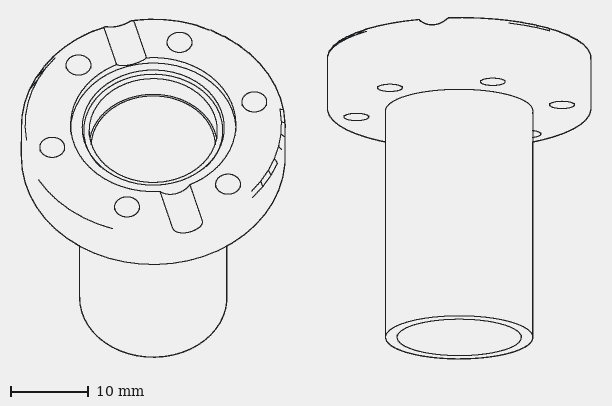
import cadquery as cq
import math

total_height = 38.0
flange_diameter = 34.0
flange_thickness = 7.5
flange_top_edge_radius = 0.5
flange_bottom_edge_radius = 0.4
flange_top = total_height
flange_bottom = flange_top - flange_thickness

bolt_count = 6
bolt_circle_diameter = 27.0
bolt_hole_diameter = 3.2
first_bolt_angle = 30.0

groove_width = 4.0
groove_depth = 1.0

tube_outer_diameter = 19.0
tube_inner_diameter = 16.0
tube_end_depth = 4.75
tube_top = flange_top - tube_end_depth

insert_diameter = 21.3
insert_bore_diameter = 16.5
knife_tip_diameter = 18.3
knife_root_diameter = 17.9
seal_slope_angle = 20.0
seal_recess_depth = 1.2
knife_root_depth = 1.3


def make_flange():
    """Bolt flange whose stepped bore holds the insert above and the tube below."""
    flange = (
        cq.Workplane("XY")
        .workplane(offset=flange_bottom)
        .circle(flange_diameter / 2)
        .extrude(flange_thickness)
        .edges(">Z")
        .fillet(flange_top_edge_radius)
        .edges("<Z")
        .fillet(flange_bottom_edge_radius)
    )
    tube_seat = (
        cq.Workplane("XY")
        .workplane(offset=flange_bottom)
        .circle(tube_outer_diameter / 2)
        .extrude(flange_thickness)
    )
    insert_seat = (
        cq.Workplane("XY")
        .workplane(offset=tube_top)
        .circle(insert_diameter / 2)
        .extrude(flange_top - tube_top)
    )
    bolt_holes = (
        cq.Workplane("XY")
        .workplane(offset=flange_bottom)
        .polarArray(bolt_circle_diameter / 2, first_bolt_angle, 360, bolt_count)
        .circle(bolt_hole_diameter / 2)
        .extrude(flange_thickness)
    )
    groove_radius = ((groove_width / 2) ** 2 + groove_depth**2) / (2 * groove_depth)
    groove = (
        cq.Workplane("YZ")
        .center(0, flange_top - groove_depth + groove_radius)
        .circle(groove_radius)
        .extrude(flange_diameter / 2, both=True)
    )
    return flange.cut(tube_seat).cut(insert_seat).cut(bolt_holes).cut(groove)


def make_insert():
    """Ring with a sealing face that rises inward to the knife edge."""
    outer_radius = insert_diameter / 2
    bore_radius = insert_bore_diameter / 2
    tip_radius = knife_tip_diameter / 2
    root_radius = knife_root_diameter / 2
    rim_height = flange_top - seal_recess_depth
    slope_rise = (outer_radius - tip_radius) * math.tan(math.radians(seal_slope_angle))
    root_height = flange_top - knife_root_depth
    return (
        cq.Workplane("XZ")
        .moveTo(bore_radius, tube_top)
        .lineTo(outer_radius, tube_top)
        .lineTo(outer_radius, rim_height)
        .lineTo(tip_radius, rim_height + slope_rise)
        .lineTo(root_radius, root_height)
        .lineTo(bore_radius, root_height)
        .close()
        .revolve(360, (0, 0, 0), (0, 1, 0))
    )


def make_tube():
    """Plain tube ending against the underside of the insert."""
    return (
        cq.Workplane("XY")
        .circle(tube_outer_diameter / 2)
        .circle(tube_inner_diameter / 2)
        .extrude(tube_top)
    )


flange = make_flange()
insert = make_insert()
tube = make_tube()

result = cq.Compound.makeCompound([flange.val(), insert.val(), tube.val()])